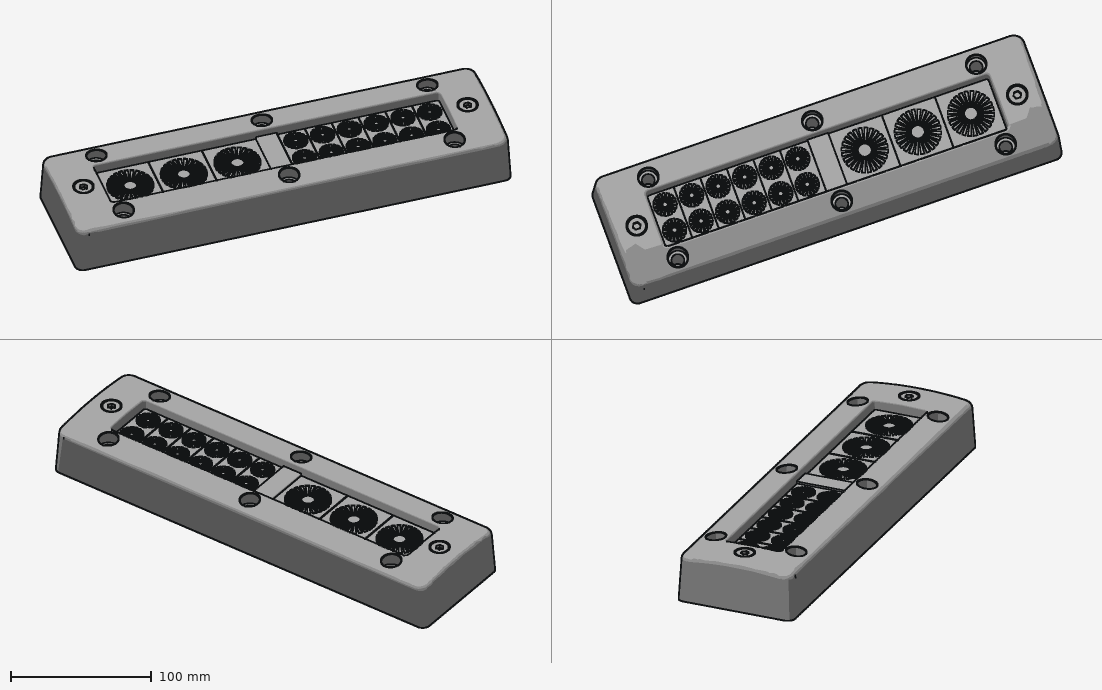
import cadquery as cq
import math

WIDTH = 90.0
LENGTH = 325.0
HEIGHT = 38.0
DRAFT_ANGLE = 2.0
BOTTOM_CORNER_RADIUS = 6.0
TOP_CORNER_RADIUS = 8.5
CROWN_RADIUS = 286.0
RIM_FILLET = 4.5

LARGE_PITCH = 40.0
SMALL_PITCH = LARGE_PITCH / 2
LARGE_COUNT = 3
SMALL_ROWS = 6
LARGE_INNER_RADIUS = 5.0
LARGE_OUTER_RADIUS = 16.5
SMALL_INNER_RADIUS = 2.0
SMALL_OUTER_RADIUS = 8.5
LARGE_SLITS = 24
SMALL_SLITS = 16
SLIT_SHARE = 0.6
SLIT_DEPTH = 0.5
SEAM_WIDTH = 0.15
SEAM_DEPTH = 0.5

FLOOR_Z = 30.0
FLOOR_WIDTH = LARGE_PITCH
FLOOR_LENGTH = 256.8
FLOOR_CORNER_RADIUS = 1.5
WALL_DRAFT_ANGLE = 9.0
LIP_FILLET = 2.0

BAR_WIDTH = 15.5
BAR_Y = -0.3
BAR_HEIGHT = 1.5
BAR_FILLET = 1.0

HOLE_X = 31.2
HOLE_Y_PITCH = 123.5
HOLE_DIAMETER = 9.0
COUNTERBORE_DIAMETER = 14.0
OPENING_CHAMFER = 0.5
COUNTERBORE_DEPTH = 8.5

SCREW_Y = 143.3
SCREW_PLACES = [(0, -SCREW_Y), (0, SCREW_Y)]
SCREW_RECESS_DIAMETER = COUNTERBORE_DIAMETER
SCREW_HEAD_DIAMETER = 13.0
SCREW_RECESS_DEPTH = 2.0
SCREW_HEAD_DROP = 0.3
HEX_CORNER_DIAMETER = 6.0
HEX_DEPTH = 2.5

SMALL_END_Y = FLOOR_LENGTH / 2 - SMALL_ROWS * SMALL_PITCH
LARGE_END_Y = LARGE_COUNT * LARGE_PITCH - FLOOR_LENGTH / 2


def rounded_outline(width, length, radius):
    return cq.Sketch().rect(width, length).vertices().fillet(radius)


def make_housing():
    """Drafted block with a crowned top and a rounded rim."""
    shrink = 2 * HEIGHT * math.tan(math.radians(DRAFT_ANGLE))
    body = (
        cq.Workplane("XY")
        .placeSketch(
            rounded_outline(WIDTH, LENGTH, BOTTOM_CORNER_RADIUS),
            rounded_outline(WIDTH - shrink, LENGTH - shrink, TOP_CORNER_RADIUS).moved(
                cq.Location(cq.Vector(0, 0, HEIGHT))
            ),
        )
        .loft(ruled=True)
    )
    crown = (
        cq.Workplane("XZ")
        .center(0, HEIGHT - CROWN_RADIUS)
        .circle(CROWN_RADIUS)
        .extrude(LENGTH, both=True)
    )
    body = body.intersect(crown)
    return body.faces(">Z").edges().fillet(RIM_FILLET)


def openings_in_crown(body):
    """Rim edges of every opening in the crowned face, which is the largest cylindrical face."""
    crown = max(body.faces("%CYLINDER").vals(), key=lambda face: face.Area())
    return body.newObject([edge for wire in crown.innerWires() for edge in wire.Edges()])


def cut_pocket(body):
    """Pocket with drafted walls and a rounded lip."""
    pocket = (
        cq.Workplane("XY", origin=(0, 0, FLOOR_Z))
        .placeSketch(rounded_outline(FLOOR_WIDTH, FLOOR_LENGTH, FLOOR_CORNER_RADIUS))
        .extrude(HEIGHT - FLOOR_Z, taper=-WALL_DRAFT_ANGLE)
    )
    return openings_in_crown(body.cut(pocket)).fillet(LIP_FILLET)


def add_bar(body):
    """Raised bar across the pocket, rounded towards the large membranes and sunk into both walls."""
    wall_run = BAR_HEIGHT * math.tan(math.radians(WALL_DRAFT_ANGLE))
    bar = (
        cq.Workplane("XY", origin=(0, BAR_Y, FLOOR_Z))
        .box(FLOOR_WIDTH + 2 * wall_run, BAR_WIDTH, BAR_HEIGHT, centered=(True, True, False))
        .edges(">Z and <Y")
        .fillet(BAR_FILLET)
    )
    return body.union(bar)


def slit_rosette(inner_radius, outer_radius, slit_count):
    """Ring of wedge-shaped slits below the XY plane, with plain ribs along X and Y."""
    pitch_angle = 2 * math.pi / slit_count
    half_angle = SLIT_SHARE * pitch_angle / 2

    def at(radius, angle):
        return (radius * math.cos(angle), radius * math.sin(angle))

    rosette = cq.Workplane("XY")
    for i in range(slit_count):
        middle = (i + 0.5) * pitch_angle
        first = middle - half_angle
        last = middle + half_angle
        rosette = (
            rosette.moveTo(*at(inner_radius, first))
            .lineTo(*at(outer_radius, first))
            .threePointArc(at(outer_radius, middle), at(outer_radius, last))
            .lineTo(*at(inner_radius, last))
            .threePointArc(at(inner_radius, middle), at(inner_radius, first))
            .close()
        )
    return rosette.extrude(-SLIT_DEPTH)


def cut_membranes(body):
    """Slit rosettes in both membrane sizes and thin seams between neighbouring rows."""
    large = slit_rosette(LARGE_INNER_RADIUS, LARGE_OUTER_RADIUS, LARGE_SLITS)
    small = slit_rosette(SMALL_INNER_RADIUS, SMALL_OUTER_RADIUS, SMALL_SLITS)
    seam = cq.Workplane("XY").box(FLOOR_WIDTH, SEAM_WIDTH, SEAM_DEPTH).translate((0, 0, -SEAM_DEPTH / 2))
    cuts = cq.Workplane("XY")
    for i in range(LARGE_COUNT):
        y = LARGE_END_Y - (i + 0.5) * LARGE_PITCH
        cuts = cuts.add(large.translate((0, y, FLOOR_Z)))
    for i in range(SMALL_ROWS):
        y = SMALL_END_Y + (i + 0.5) * SMALL_PITCH
        for x in (-SMALL_PITCH / 2, SMALL_PITCH / 2):
            cuts = cuts.add(small.translate((x, y, FLOOR_Z)))
    for i in range(1, LARGE_COUNT):
        cuts = cuts.add(seam.translate((0, LARGE_END_Y - i * LARGE_PITCH, FLOOR_Z)))
    for i in range(1, SMALL_ROWS):
        cuts = cuts.add(seam.translate((0, SMALL_END_Y + i * SMALL_PITCH, FLOOR_Z)))
    return body.cut(cq.Workplane(cq.Compound.makeCompound(cuts.solids().vals())))


def cut_mounting_holes(body):
    """Six counterbored through holes beside the pocket."""
    crown_drop = CROWN_RADIUS - math.sqrt(CROWN_RADIUS**2 - HOLE_X**2)
    seat_z = HEIGHT - crown_drop - COUNTERBORE_DEPTH
    places = [(x, y) for x in (-HOLE_X, HOLE_X) for y in (-HOLE_Y_PITCH, 0, HOLE_Y_PITCH)]
    holes = cq.Workplane("XY").pushPoints(places).circle(HOLE_DIAMETER / 2).extrude(HEIGHT)
    seats = (
        cq.Workplane("XY", origin=(0, 0, seat_z))
        .pushPoints(places)
        .circle(COUNTERBORE_DIAMETER / 2)
        .extrude(HEIGHT - seat_z)
    )
    return body.cut(holes).cut(seats)


def cut_screw_recesses(body):
    recesses = (
        cq.Workplane("XY", origin=(0, 0, HEIGHT - SCREW_RECESS_DEPTH))
        .pushPoints(SCREW_PLACES)
        .circle(SCREW_RECESS_DIAMETER / 2)
        .extrude(SCREW_RECESS_DEPTH)
    )
    return body.cut(recesses)


def add_screw_heads(body):
    """Hexagon-socket heads on the centreline at both ends, standing in their recesses."""
    heads = (
        cq.Workplane("XY", origin=(0, 0, HEIGHT - SCREW_RECESS_DEPTH))
        .pushPoints(SCREW_PLACES)
        .circle(SCREW_HEAD_DIAMETER / 2)
        .extrude(SCREW_RECESS_DEPTH - SCREW_HEAD_DROP)
    )
    socket = (
        cq.Workplane("XY", origin=(0, 0, HEIGHT - SCREW_HEAD_DROP))
        .polygon(6, HEX_CORNER_DIAMETER)
        .extrude(-HEX_DEPTH)
        .rotate((0, 0, 0), (0, 0, 1), 90)
    )
    body = body.union(heads)
    for x, y in SCREW_PLACES:
        body = body.cut(socket.translate((x, y, 0)))
    return body


housing = make_housing()
drilled = cut_screw_recesses(cut_mounting_holes(housing))
drilled = openings_in_crown(drilled).chamfer(OPENING_CHAMFER)
housing = cut_pocket(housing).intersect(drilled)
housing = add_screw_heads(housing)
housing = add_bar(housing)
result = cut_membranes(housing)